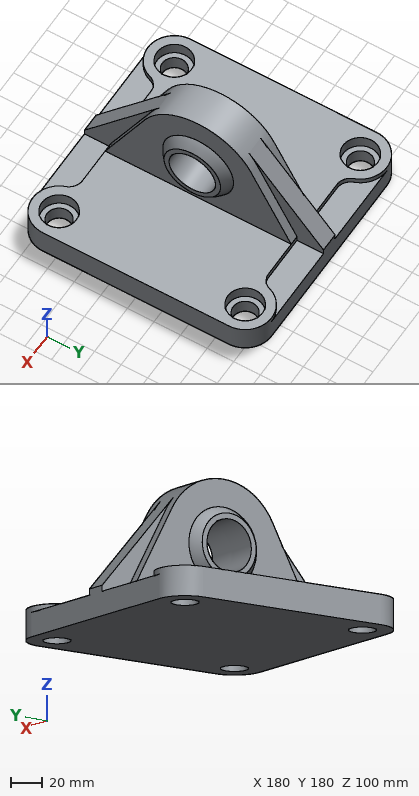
import cadquery as cq
import math

plate_side = 180.0
plate_thickness = 20.0
corner_radius = 20.0
half_side = plate_side / 2
hole_offset = half_side - corner_radius

bolt_hole_diameter = 18.0
counterbore_diameter = 26.0
counterbore_depth = 9.0

step_depth = 4.0
step_fillet_radius = 10.0

lug_thickness = 28.0
lug_radius = 45.0
rib_thickness = 14.0
eye_height = 55.0

ball_radius = 30.0
ball_width = 42.5
bore_diameter = 35.0


def make_ball():
    """Solid ball with flat ends, revolved about the eye axis along X."""
    half_width = ball_width / 2
    face_radius = math.sqrt(ball_radius**2 - half_width**2)
    return (
        cq.Workplane("XZ", origin=(0, 0, eye_height))
        .moveTo(-half_width, 0)
        .lineTo(-half_width, face_radius)
        .threePointArc((0, ball_radius), (half_width, face_radius))
        .lineTo(half_width, 0)
        .close()
        .revolve(360, (0, 0, 0), (1, 0, 0))
    )


def make_lower_plate():
    height = plate_thickness - step_depth
    lower_plate = cq.Workplane("XY").box(plate_side, plate_side, height, centered=(True, True, False))
    return lower_plate.edges("|Z").fillet(corner_radius)


def point_at(center, radius, angle):
    return (center[0] + radius * math.cos(angle), center[1] + radius * math.sin(angle))


def make_upper_plate():
    """Layer left standing above the steps: round corner bosses blend into the straight inset edges."""
    center_distance = corner_radius + step_fillet_radius
    fillet_run = math.sqrt(center_distance**2 - step_fillet_radius**2)
    boss_center = (hole_offset, hole_offset)
    fillet_center = (hole_offset - fillet_run, hole_offset + step_fillet_radius)
    boss_angle = math.atan2(step_fillet_radius, -fillet_run)
    fillet_mid_angle = (boss_angle - math.pi - math.pi / 2) / 2

    boss_end = point_at(boss_center, corner_radius, boss_angle)
    boss_mid = point_at(boss_center, corner_radius, boss_angle / 2)
    fillet_mid = point_at(fillet_center, step_fillet_radius, fillet_mid_angle)
    quarter = (
        cq.Workplane("XY", origin=(0, 0, plate_thickness - step_depth))
        .lineTo(half_side, 0)
        .lineTo(half_side, hole_offset)
        .threePointArc(boss_mid, boss_end)
        .threePointArc(fillet_mid, (fillet_center[0], hole_offset))
        .lineTo(0, hole_offset)
        .close()
        .extrude(step_depth)
    )
    half = quarter.union(quarter.mirror("YZ"))
    return half.union(half.mirror("XZ"))


def make_web(half_length, thickness):
    """Upright web whose sloping sides run from the plate top tangentially into the eye radius."""
    drop = eye_height - plate_thickness
    foot_distance = math.hypot(half_length, drop)
    tangent_angle = math.acos(lug_radius / foot_distance) - math.atan2(drop, half_length)
    tangent_y = lug_radius * math.cos(tangent_angle)
    tangent_z = eye_height + lug_radius * math.sin(tangent_angle)
    bottom = plate_thickness - step_depth
    return (
        cq.Workplane("YZ")
        .moveTo(-half_length, bottom)
        .lineTo(half_length, bottom)
        .lineTo(half_length, plate_thickness)
        .lineTo(tangent_y, tangent_z)
        .threePointArc((0, eye_height + lug_radius), (-tangent_y, tangent_z))
        .lineTo(-half_length, plate_thickness)
        .close()
        .extrude(thickness / 2, both=True)
    )


def make_bracket():
    bracket = make_lower_plate().union(make_upper_plate())
    bracket = (
        bracket.faces(">Z")
        .workplane(origin=(0, 0, plate_thickness))
        .rect(2 * hole_offset, 2 * hole_offset, forConstruction=True)
        .vertices()
        .cboreHole(bolt_hole_diameter, counterbore_diameter, counterbore_depth)
    )
    lug = make_web(hole_offset, lug_thickness)
    ribs = make_web(half_side, rib_thickness)
    return bracket.union(lug).union(ribs).cut(make_ball())


def make_bearing():
    """Ball with a through bore along X."""
    bore = (
        cq.Workplane("YZ", origin=(0, 0, eye_height))
        .circle(bore_diameter / 2)
        .extrude(ball_width / 2, both=True)
    )
    return make_ball().cut(bore)


bracket = make_bracket()
bearing = make_bearing()

result = cq.Compound.makeCompound([bracket.solids().val(), bearing.solids().val()])